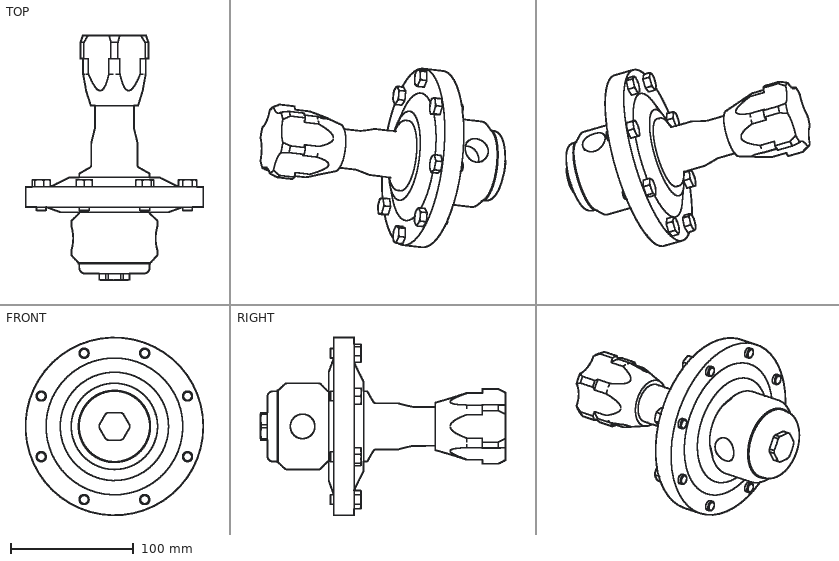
import cadquery as cq
import math


cap_front_y = 5.5
cap_back_y = 13.5
cap_radius = 28.7
cap_round = 4.8
shoulder_step = 0.5
shoulder_land = 0.8
body_front_y = 20.5
body_back_y = 48.5
body_radius = 35.0
throat_front_y = 54.8
throat_radius = 28.5

flange_front_y = 59.6
flange_back_y = 76.2
flange_radius = 72.4
front_boss_y = 55.5
front_boss_radius = 44.0
front_boss_base_radius = 55.6
back_boss_y = 84.0
back_boss_radius = 36.5
back_boss_base_radius = 52.2

collar_cone_y = 87.0
collar_radius = 28.7
neck_front_y = 92.5
neck_radius = 19.0
taper_front_y = 111.7
taper_back_y = 123.8
slim_neck_radius = 16.0
corner_round = 1.8
taper_round = 4.0

knob_front_y = 142.2
knob_front_radius = 19.3
knob_shoulder_y = 167.9
knob_waist_radius = 27.3
knob_grip_y = 180.5
knob_grip_radius = 30.5
knob_end_y = 199.4
knob_chamfer_length = 5.8
knob_chamfer_depth = 3.0
flute_count = 6
flute_radius = 20.0
flute_pitch_radius = 43.0

plug_flats = 22.5
plug_turned_radius = 12.4
plug_face_radius = 9.4
plug_bevel_length = 0.5
plug_embed = 4.0

port_y = 34.3
port_radius = 10.0
port_depth = 22.0

bolt_count = 8
bolt_circle_radius = 64.5
bolt_first_angle = 180.0 / bolt_count
bolt_head_corners = 15.0
bolt_head_height = 5.8
bolt_head_chamfer = 0.5
stud_radius = 4.0
stud_length = 3.0
stud_chamfer = 0.5


def revolved(outline):
    """Solid of revolution about Y from (radius, y) points listed front to back."""
    front_y = outline[0][1]
    back_y = outline[-1][1]
    points = [(0, front_y)] + outline + [(0, back_y)]
    return cq.Workplane("XY").polyline(points).close().revolve(360, (0, 0), (0, 1))


def round_rings(solid, stations, radius):
    """Fillet the circular edges that lie at the given stations on the Y axis."""
    for y in stations:
        ring = cq.selectors.BoxSelector((-0.2, y - 0.02, -0.2), (0.2, y + 0.02, 0.2))
        solid = solid.edges(ring).fillet(radius)
    return solid


def plane_at(y):
    """XZ workplane at station y whose normal, and extrusion, points along +Y."""
    return cq.Workplane(cq.Plane(origin=(0, y, 0), xDir=(1, 0, 0), normal=(0, 1, 0)))


def make_body():
    """Pressure body with its rounded end cap and two blind side ports."""
    body = revolved([
        (cap_radius, cap_front_y),
        (cap_radius, cap_back_y),
        (cap_radius + shoulder_step, cap_back_y),
        (cap_radius + shoulder_step, cap_back_y + shoulder_land),
        (body_radius, body_front_y),
        (body_radius, body_back_y),
        (throat_radius, throat_front_y),
        (throat_radius, flange_front_y),
    ])
    body = round_rings(body, [cap_front_y], cap_round)
    body = round_rings(body, [body_front_y, body_back_y, throat_front_y], corner_round)
    for side in (-1, 1):
        port = (
            cq.Workplane("YZ", origin=(side * body_radius, 0, 0))
            .center(port_y, 0)
            .circle(port_radius)
            .extrude(-side * port_depth)
        )
        body = body.cut(port)
    return body


def make_flange():
    """Round flange with a conical boss on each side."""
    return revolved([
        (front_boss_radius, front_boss_y),
        (front_boss_base_radius, flange_front_y),
        (flange_radius, flange_front_y),
        (flange_radius, flange_back_y),
        (back_boss_base_radius, flange_back_y),
        (back_boss_radius, back_boss_y),
    ])


def make_neck():
    """Collar and tapering neck that carry the knob."""
    neck = revolved([
        (collar_radius, flange_back_y),
        (collar_radius, collar_cone_y),
        (neck_radius, neck_front_y),
        (neck_radius, taper_front_y),
        (slim_neck_radius, taper_back_y),
        (slim_neck_radius, knob_shoulder_y),
    ])
    neck = round_rings(neck, [collar_cone_y, neck_front_y], corner_round)
    return round_rings(neck, [taper_front_y, taper_back_y], taper_round)


def make_knob():
    """Stepped knob with round flutes that run out on its cone."""
    knob = revolved([
        (knob_front_radius, knob_front_y),
        (knob_waist_radius, knob_shoulder_y),
        (knob_waist_radius, knob_grip_y),
        (knob_grip_radius, knob_grip_y),
        (knob_grip_radius, knob_end_y - knob_chamfer_length),
        (knob_grip_radius - knob_chamfer_depth, knob_end_y),
    ])
    flutes = (
        plane_at(knob_front_y)
        .polarArray(flute_pitch_radius, 0, 360, flute_count)
        .circle(flute_radius)
        .extrude(knob_end_y - knob_front_y)
    )
    return knob.cut(flutes)


def make_plug_head():
    """Hexagon head with turned corners and a shallow bevel on its face."""
    back_y = cap_front_y + plug_embed
    corners = plug_flats / math.cos(math.pi / 6)
    hexagon = plane_at(0).polygon(6, corners).extrude(back_y)
    turned = revolved([
        (plug_face_radius, 0),
        (plug_turned_radius, plug_bevel_length),
        (plug_turned_radius, back_y),
    ])
    return hexagon.intersect(turned)


def make_bolt():
    """Bolt centred on the Y axis, with its head behind the flange and its end in front."""
    head_radius = bolt_head_corners / 2
    head = plane_at(flange_back_y).polygon(6, bolt_head_corners).extrude(bolt_head_height)
    head_end_y = flange_back_y + bolt_head_height
    turned = revolved([
        (head_radius, flange_back_y),
        (head_radius, head_end_y - bolt_head_chamfer),
        (head_radius - bolt_head_chamfer, head_end_y),
    ])
    stud_end_y = flange_front_y - stud_length
    stud = revolved([
        (stud_radius - stud_chamfer, stud_end_y),
        (stud_radius, stud_end_y + stud_chamfer),
        (stud_radius, flange_back_y),
    ])
    return head.intersect(turned).union(stud)


result = make_body()
for part in (make_flange(), make_neck(), make_knob(), make_plug_head()):
    result = result.union(part)

first_angle = math.radians(bolt_first_angle)
first_bolt = make_bolt().translate((
    bolt_circle_radius * math.cos(first_angle),
    0,
    bolt_circle_radius * math.sin(first_angle),
))
for index in range(bolt_count):
    result = result.union(first_bolt.rotate((0, 0, 0), (0, 1, 0), index * 360.0 / bolt_count))